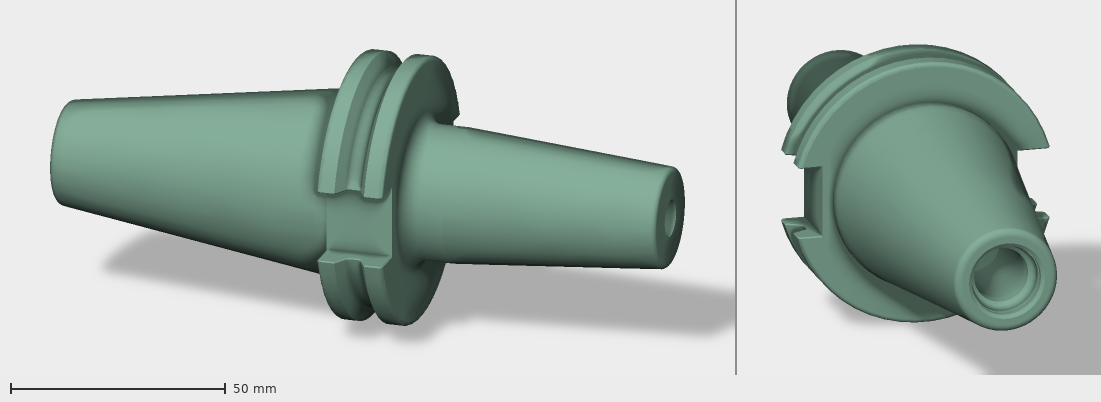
import cadquery as cq
import math

total_length = 148.2

gauge_position = 68.2
gauge_diameter = 44.5
taper_ratio = 7 / 24
shank_end_round = 1.8

flange_start = 71.3
flange_end = 87.3
flange_diameter = 63.5
flange_edge_round = 1.0

groove_center = 79.3
groove_mouth_width = 7.3
groove_depth = 3.7
groove_flank_angle = 30.0
groove_root_round = 0.7

slot_width = 16.8
slot_edge_break = 0.3
slot_floor_plus_y = 24.8
slot_floor_minus_y = 22.5

neck_diameter = 32.0
neck_fillet = 3.0
nose_taper_start = 97.4
nose_taper_angle = 4.5
nose_end_round = 1.2

bore_mouth_diameter = 18.4
recess_diameter = 16.8
recess_start = 0.6
recess_end = 2.0
pilot_diameter = 16.3
pilot_end = 3.9
thread_bore_diameter = 13.0
thread_bore_start = 5.2
thread_bore_end = 29.6
drill_point_angle = 120.0
through_diameter = 8.9


def revolve_about_x(points):
    """Turn a closed outline of (x, radius) points about the X axis."""
    return cq.Workplane("XY").polyline(points).close().revolve(360, (0, 0, 0), (1, 0, 0))


def round_rim(body, x, radius, round_radius):
    """Round the circular edge with the given position and radius."""
    margin = 0.07
    rim = cq.selectors.BoxSelector(
        (x - margin, -radius - margin, -radius - margin),
        (x + margin, radius + margin, radius + margin),
        boundingbox=True,
    )
    inner = cq.selectors.BoxSelector(
        (x - margin, -radius + margin, -radius + margin),
        (x + margin, radius - margin, radius - margin),
        boundingbox=True,
    )
    return body.edges(rim - inner).fillet(round_radius)


def make_shank():
    gauge_radius = gauge_diameter / 2
    end_radius = gauge_radius - gauge_position * taper_ratio / 2
    shank = revolve_about_x([
        (0, 0),
        (0, end_radius),
        (gauge_position, gauge_radius),
        (flange_start, gauge_radius),
        (flange_start, 0),
    ])
    return round_rim(shank, 0, end_radius, shank_end_round)


def make_flange():
    flange_radius = flange_diameter / 2
    root_radius = flange_radius - groove_depth
    mouth_half = groove_mouth_width / 2
    root_half = mouth_half - groove_depth * math.tan(math.radians(groove_flank_angle))
    flange = revolve_about_x([
        (flange_start, 0),
        (flange_start, flange_radius),
        (groove_center - mouth_half, flange_radius),
        (groove_center - root_half, root_radius),
        (groove_center + root_half, root_radius),
        (groove_center + mouth_half, flange_radius),
        (flange_end, flange_radius),
        (flange_end, 0),
    ])
    for x in (flange_start, flange_end):
        flange = round_rim(flange, x, flange_radius, flange_edge_round)
    for x in (groove_center - root_half, groove_center + root_half):
        flange = round_rim(flange, x, root_radius, groove_root_round)
    return flange


def make_slot(side, floor):
    """Slot cutter that reaches outward from its floor; side is +1 or -1 along Y."""
    depth = flange_diameter / 2 - floor
    return cq.Workplane("XY").box(flange_end - flange_start, depth, slot_width).translate(
        ((flange_start + flange_end) / 2, side * (floor + depth / 2), 0)
    )


def break_slot_edges(body, side, floor):
    """Chamfer the rims of both slot walls, leaving the edges along the slot floor sharp."""
    margin = 0.01
    for end in (-1, 1):
        wall_z = end * slot_width / 2
        near = side * (floor - margin)
        far = side * flange_diameter / 2
        wall_edges = cq.selectors.BoxSelector(
            (flange_start - margin, near, wall_z - margin),
            (flange_end + margin, far, wall_z + margin),
            boundingbox=True,
        )
        floor_edge = cq.selectors.BoxSelector(
            (flange_start - margin, near, wall_z - margin),
            (flange_end + margin, side * (floor + margin), wall_z + margin),
            boundingbox=True,
        )
        body = body.edges(wall_edges - floor_edge).chamfer(slot_edge_break)
    return body


def make_nose():
    neck_radius = neck_diameter / 2
    nose_length = total_length - nose_taper_start
    end_radius = neck_radius - nose_length * math.tan(math.radians(nose_taper_angle))
    nose = revolve_about_x([
        (flange_end, 0),
        (flange_end, neck_radius),
        (nose_taper_start, neck_radius),
        (total_length, end_radius),
        (total_length, 0),
    ])
    return round_rim(nose, total_length, end_radius, nose_end_round)


def make_bore():
    through_radius = through_diameter / 2
    thread_radius = thread_bore_diameter / 2
    point_length = (thread_radius - through_radius) / math.tan(math.radians(drill_point_angle / 2))
    return revolve_about_x([
        (0, 0),
        (0, bore_mouth_diameter / 2),
        (recess_start, recess_diameter / 2),
        (recess_end, recess_diameter / 2),
        (recess_end, pilot_diameter / 2),
        (pilot_end, pilot_diameter / 2),
        (thread_bore_start, thread_radius),
        (thread_bore_end, thread_radius),
        (thread_bore_end + point_length, through_radius),
        (total_length, through_radius),
        (total_length, 0),
    ])


body = make_shank().union(make_flange()).union(make_nose())
body = round_rim(body, flange_end, neck_diameter / 2, neck_fillet)
for side, floor in ((1, slot_floor_plus_y), (-1, slot_floor_minus_y)):
    body = body.cut(make_slot(side, floor))
    body = break_slot_edges(body, side, floor)
result = body.cut(make_bore())